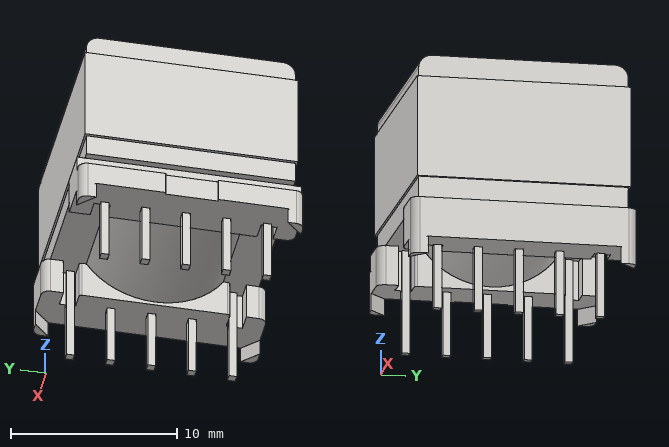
import cadquery as cq

FOOT_BOTTOM = 2.91
BASE_BOTTOM = 3.95
COIL_BOTTOM = 4.17
LEDGE_TOP = 5.42
CORE_BOTTOM = 6.4
BAND_BOTTOM = 7.77
BAND_TOP = 14.0
TOTAL_HEIGHT = 15.39

BASE_X = 13.82
BASE_Y = 13.8
BASE_CORNER_RADIUS = 0.51
RAIL_INNER_X = 3.86
LEDGE_STEP_X = 6.14
NOTCH_WIDTH = 3.23
NOTCH_DEPTH = 0.15
FOOT_SIZE = 1.02

SLOT_NEAR_Y = 4.63
SLOT_FAR_Y = 5.62
SLOT_EDGE_RADIUS = 0.17

CORE_X = 13.15
CORE_Y = 12.84
CORE_TOP_RADIUS = 0.8
BAND_X = 13.51
BAND_Y = 13.08

COIL_RADIUS = 5.08

PIN_WIDTH = 0.5
PIN_PITCH = 2.5
PINS_PER_ROW = 5
PIN_ROW_X = 2 * PIN_PITCH

SIDES = (-1, 1)


def block(x_range, y_range, z_range):
    """Box spanning the given ranges; the ends of a range may come in either order."""
    (x0, x1), (y0, y1), (z0, z1) = x_range, y_range, z_range
    size = (abs(x1 - x0), abs(y1 - y0), abs(z1 - z0))
    centre = ((x0 + x1) / 2, (y0 + y1) / 2, (z0 + z1) / 2)
    return cq.Workplane("XY").box(*size).translate(centre)


def centred_block(x_size, y_size, z_range):
    return block((-x_size / 2, x_size / 2), (-y_size / 2, y_size / 2), z_range)


def make_core():
    core = centred_block(CORE_X, CORE_Y, (CORE_BOTTOM, TOTAL_HEIGHT))
    core = core.faces(">Z").edges("|X").fillet(CORE_TOP_RADIUS)
    return core.union(centred_block(BAND_X, BAND_Y, (BAND_BOTTOM, BAND_TOP)))


def make_coil():
    """Round winding along X, hanging below the core between the two rails."""
    return (
        cq.Workplane("YZ")
        .center(0, COIL_BOTTOM + COIL_RADIUS)
        .circle(COIL_RADIUS)
        .extrude(RAIL_INNER_X, both=True)
    )


def make_rail(side):
    """Rail on the -X or +X side, with two corner feet and two wire slots."""
    outer_x = side * BASE_X / 2
    inner_x = side * RAIL_INNER_X
    rail = block((inner_x, outer_x), (-BASE_Y / 2, BASE_Y / 2), (FOOT_BOTTOM, CORE_BOTTOM))
    if side < 0:
        rail = rail.edges("|Z and (<X or <Y)").fillet(BASE_CORNER_RADIUS)
    else:
        rail = rail.edges("|Z").fillet(BASE_CORNER_RADIUS)

    foot_inner_x = outer_x - side * FOOT_SIZE
    foot_inner_y = BASE_Y / 2 - FOOT_SIZE
    clearance = (
        cq.Workplane("XY", origin=(0, 0, FOOT_BOTTOM))
        .moveTo(inner_x, -BASE_Y / 2)
        .lineTo(foot_inner_x, -BASE_Y / 2)
        .lineTo(outer_x, -foot_inner_y)
        .lineTo(outer_x, foot_inner_y)
        .lineTo(foot_inner_x, BASE_Y / 2)
        .lineTo(inner_x, BASE_Y / 2)
        .close()
        .extrude(BASE_BOTTOM - FOOT_BOTTOM)
    )
    rail = rail.cut(clearance)

    slot_middle_z = (BASE_BOTTOM + CORE_BOTTOM) / 2
    for y_side in SIDES:
        near_y = y_side * SLOT_NEAR_Y
        far_y = y_side * SLOT_FAR_Y
        rail = rail.cut(
            block((inner_x, side * PIN_ROW_X), (near_y, far_y), (BASE_BOTTOM, CORE_BOTTOM))
        )
        slot_edge = cq.selectors.NearestToPointSelector((inner_x, near_y, slot_middle_z))
        rail = rail.edges("|Z").edges(slot_edge).fillet(SLOT_EDGE_RADIUS)
    return rail


def cut_ledge(rail):
    """Lower the outer strip of the -X rail and notch the middle of its edge."""
    outer_x = -BASE_X / 2
    strip = block((outer_x, -LEDGE_STEP_X), (-BASE_Y / 2, BASE_Y / 2), (LEDGE_TOP, CORE_BOTTOM))
    notch = block(
        (outer_x, outer_x + NOTCH_DEPTH),
        (-NOTCH_WIDTH / 2, NOTCH_WIDTH / 2),
        (BASE_BOTTOM, LEDGE_TOP),
    )
    return rail.cut(strip).cut(notch)


def make_pins():
    """Two rows of square pins running up through the rails to the core."""
    return (
        cq.Workplane("XY")
        .rarray(2 * PIN_ROW_X, PIN_PITCH, 2, PINS_PER_ROW)
        .rect(PIN_WIDTH, PIN_WIDTH)
        .extrude(CORE_BOTTOM)
    )


result = (
    make_core()
    .union(make_coil())
    .union(cut_ledge(make_rail(-1)))
    .union(make_rail(1))
    .union(make_pins())
)